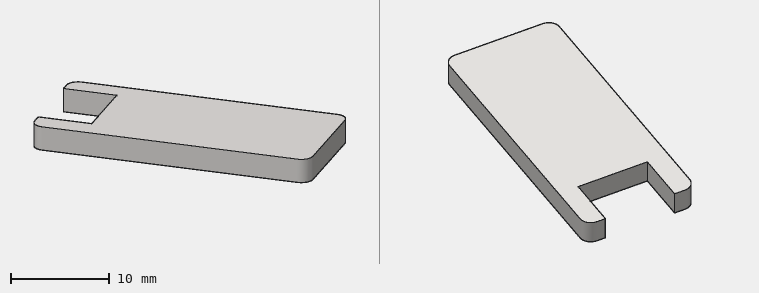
import cadquery as cq

length = 29.75
width = 12.7
thickness = 2.55
corner_radius = 1.25

notch_depth = 5.7
notch_width = 8.0
notch_offset_y = 0.1


def rounded_plate():
    """Flat plate with its four upright corners rounded."""
    return cq.Workplane("XY").box(length, width, thickness).edges("|Z").fillet(corner_radius)


def end_notch():
    """Rectangular block that cuts the notch through the full thickness."""
    notch_center_x = (notch_depth - length) / 2
    return (
        cq.Workplane("XY")
        .box(notch_depth, notch_width, thickness)
        .translate((notch_center_x, notch_offset_y, 0))
    )


result = rounded_plate().cut(end_notch())